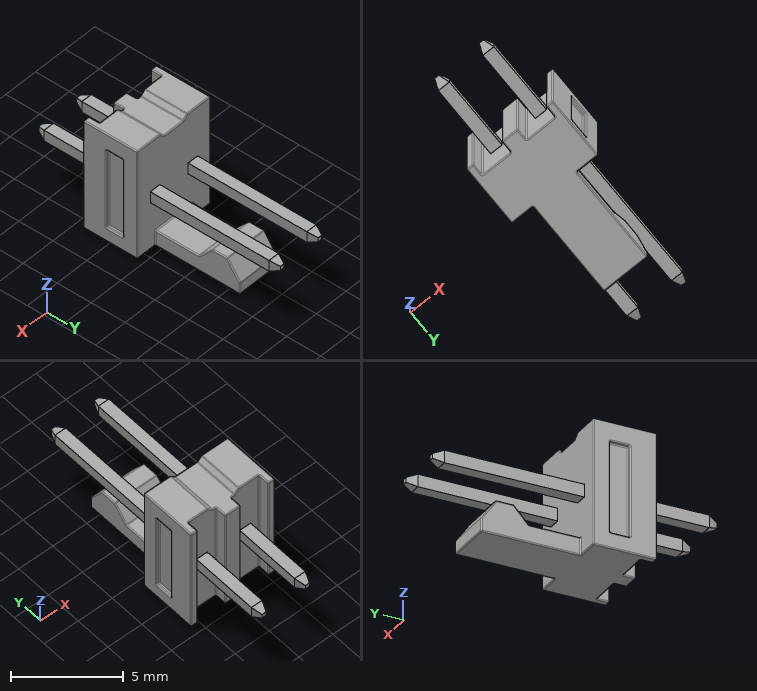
import cadquery as cq
housing_width = 4.93
housing_depth = 3.19
housing_height = 6.35
housing_back = -0.37
housing_front = housing_back - housing_depth
housing_bottom = -housing_height / 2
housing_top = housing_height / 2
edge_radius = 0.06

side_wall = 0.38
rib_width = 0.9
channel_depth = 0.64
channel_width = (housing_width - rib_width) / 2 - side_wall
channel_offset = (rib_width + channel_width) / 2

notch_depth = 0.25
notch_floor_width = 1.31
notch_top_width = notch_floor_width + 2 * notch_depth

pin_pitch = 2.55
pin_size = 0.64
pin_length = 14.22
pin_center_z = -0.09
tip_length = 0.5
tip_size = 0.25

pocket_width = 1.0
pocket_height = 4.6
pocket_depth = 0.2
pocket_center_y = -1.7

latch_width = 2.52
latch_length = 4.98
latch_thickness = 0.9
hook_height = 1.72
hook_nose_height = 0.67
hook_lead_in = 0.75
hook_flat = 0.88
hook_catch = 0.77


def box_between(width, front, back, bottom, top, center_x=0):
    """Box centred on center_x, spanning front to back in Y and bottom to top in Z."""
    return (
        cq.Workplane("XY")
        .box(width, back - front, top - bottom)
        .translate((center_x, (front + back) / 2, (bottom + top) / 2))
    )


def make_latch():
    tip = housing_back + latch_length
    hook_front = tip - hook_lead_in - hook_flat
    outline = [
        (housing_back, 0),
        (tip, 0),
        (tip, hook_nose_height),
        (tip - hook_lead_in, hook_height),
        (hook_front, hook_height),
        (hook_front - hook_catch, latch_thickness),
        (housing_back, latch_thickness),
    ]
    return (
        cq.Workplane("YZ", origin=(0, 0, housing_bottom))
        .polyline(outline)
        .close()
        .extrude(latch_width / 2, both=True)
    )


def make_notch():
    return (
        cq.Workplane("XZ", origin=(0, housing_back, housing_top))
        .polyline([
            (-notch_top_width / 2, 0),
            (-notch_floor_width / 2, -notch_depth),
            (notch_floor_width / 2, -notch_depth),
            (notch_top_width / 2, 0),
        ])
        .close()
        .extrude(housing_depth)
    )


def make_housing():
    body = box_between(housing_width, housing_front, housing_back, housing_bottom, housing_top)
    body = body.cut(make_notch())
    for side in (-1, 1):
        channel = box_between(
            channel_width,
            housing_front,
            housing_front + channel_depth,
            housing_bottom,
            housing_top,
            side * channel_offset,
        )
        pocket = box_between(
            2 * pocket_depth,
            pocket_center_y - pocket_width / 2,
            pocket_center_y + pocket_width / 2,
            pin_center_z - pocket_height / 2,
            pin_center_z + pocket_height / 2,
            side * housing_width / 2,
        )
        body = body.cut(channel).cut(pocket)
    return body.union(make_latch()).clean().edges().fillet(edge_radius)


def make_tip(base_y, direction):
    """Square taper from the full pin section to the blunt end."""
    plane = cq.Plane(origin=(0, base_y, pin_center_z), xDir=(1, 0, 0), normal=(0, direction, 0))
    return (
        cq.Workplane(plane)
        .rect(pin_size, pin_size)
        .workplane(offset=tip_length)
        .rect(tip_size, tip_size)
        .loft(ruled=True)
    )


def make_pin():
    shaft_end = pin_length / 2 - tip_length
    shaft = box_between(
        pin_size, -shaft_end, shaft_end, pin_center_z - pin_size / 2, pin_center_z + pin_size / 2
    )
    return shaft.union(make_tip(shaft_end, 1)).union(make_tip(-shaft_end, -1))


result = make_housing()
for side in (-1, 1):
    result = result.union(make_pin().translate((side * pin_pitch / 2, 0, 0)))